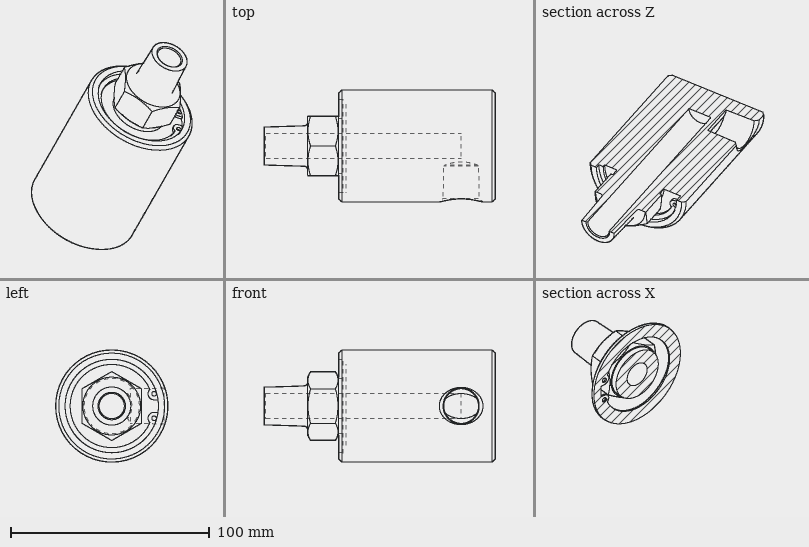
import cadquery as cq
import math

total_length = 116.4
nut_start = 21.8
body_start = 37.5

body_diameter = 56.6
body_chamfer = 1.6
recess_diameter = 47.0
plate_depth = 3.7

ring_thickness = 1.4
ring_inner_diameter = 41.9
ear_diameter = 6.0
ear_hole_diameter = 2.3
ear_radial_position = 21.3
ear_offset = 6.2

shank_tip_diameter = 19.2
shank_taper = 1 / 16
shank_fillet = 1.5
hex_across_flats = 30.0
hex_chamfer_diameter = 29.1
hex_chamfer_angle = math.radians(30)
collar_diameter = 27.8
shaft_diameter = 20.3

bore_diameter = 12.7
bore_chamfer = 0.6

port_position = 99.2
port_end_diameter = 17.5
port_taper = 0.04
port_countersink_diameter = 22.0
port_depth = 18.9
port_tip_angle = math.radians(118)

body_radius = body_diameter / 2
plate_start = body_start + plate_depth
ring_start = plate_start - ring_thickness


def revolve_about_x(points):
    """Revolve a closed (x, radius) outline about the X axis."""
    return cq.Workplane("XY").polyline(points).close().revolve(360, (0, 0, 0), (1, 0, 0))


def cylinder_along_x(diameter, start, end):
    return cq.Workplane("YZ", origin=(start, 0, 0)).circle(diameter / 2).extrude(end - start)


def make_body():
    body = cylinder_along_x(body_diameter, body_start, total_length)
    body = body.faces("<X or >X").edges().chamfer(body_chamfer)
    return body.cut(cylinder_along_x(recess_diameter, body_start, plate_start))


def make_retaining_ring():
    """Open ring whose gap on the -Y side lies between two round ears with plier holes."""

    def disc(diameter, y=0, z=0):
        return cylinder_along_x(diameter, ring_start, plate_start).translate((0, y, z))

    def block(y_start, y_end, height, z=0):
        center = ((y_start + y_end) / 2, z)
        profile = cq.Workplane("YZ", origin=(ring_start, 0, 0)).center(*center).rect(y_end - y_start, height)
        return profile.extrude(ring_thickness)

    ring = disc(recess_diameter).cut(disc(ring_inner_diameter))
    ring = ring.cut(block(-body_radius, 0, 2 * ear_offset))
    for side in (-1, 1):
        ear_center = (-ear_radial_position, side * ear_offset)
        ear_end = block(-body_radius, -ear_radial_position, ear_diameter, side * ear_offset)
        ear = disc(ear_diameter, *ear_center).union(ear_end).intersect(disc(recess_diameter))
        ring = ring.union(ear).cut(disc(ear_hole_diameter, *ear_center))
    return ring


def make_shank():
    fillet_start = nut_start - shank_fillet
    tip_radius = shank_tip_diameter / 2
    root_radius = tip_radius + fillet_start * shank_taper / 2
    arc_reach = shank_fillet * math.sin(math.radians(45))
    fillet_middle = (fillet_start + arc_reach, root_radius + shank_fillet - arc_reach)
    return (
        cq.Workplane("XY")
        .moveTo(0, 0)
        .lineTo(0, tip_radius)
        .lineTo(fillet_start, root_radius)
        .threePointArc(fillet_middle, (nut_start, root_radius + shank_fillet))
        .lineTo(nut_start, 0)
        .close()
        .revolve(360, (0, 0, 0), (1, 0, 0))
    )


def make_hexagon():
    across_corners = hex_across_flats / math.cos(math.radians(30))
    hexagon = (
        cq.Workplane("YZ", origin=(nut_start, 0, 0))
        .polygon(6, across_corners)
        .extrude(body_start - nut_start)
        .rotate((0, 0, 0), (1, 0, 0), 90)
    )
    face_radius = hex_chamfer_diameter / 2
    outer_radius = across_corners / 2
    chamfer_length = (outer_radius - face_radius) * math.tan(hex_chamfer_angle)
    envelope = revolve_about_x([
        (nut_start, 0),
        (nut_start, face_radius),
        (nut_start + chamfer_length, outer_radius),
        (body_start - chamfer_length, outer_radius),
        (body_start, face_radius),
        (body_start, 0),
    ])
    return hexagon.intersect(envelope)


def make_bore():
    bore_radius = bore_diameter / 2
    return revolve_about_x([
        (0, 0),
        (0, bore_radius + bore_chamfer),
        (bore_chamfer, bore_radius),
        (port_position, bore_radius),
        (port_position, 0),
    ])


def make_port():
    """Tapered hole with a 45 degree countersink and a conical end that leaves the shaft standing."""
    end_radius = port_end_diameter / 2
    entry_radius = end_radius + port_depth * port_taper / 2
    countersink_radius = port_countersink_diameter / 2
    floor_y = port_depth - body_radius
    tip_y = floor_y + end_radius / math.tan(port_tip_angle / 2)
    port = (
        cq.Workplane("XY", origin=(port_position, 0, 0))
        .polyline([
            (0, -body_radius),
            (countersink_radius, -body_radius),
            (entry_radius, -body_radius + countersink_radius - entry_radius),
            (end_radius, floor_y),
            (0, tip_y),
        ])
        .close()
        .revolve(360, (0, 0, 0), (0, 1, 0))
    )
    return port.cut(cylinder_along_x(shaft_diameter, body_start, total_length))


collar = cylinder_along_x(collar_diameter, body_start, plate_start)
result = (
    make_body()
    .union(make_retaining_ring())
    .union(collar)
    .union(make_hexagon())
    .union(make_shank())
    .cut(make_bore())
    .cut(make_port())
)